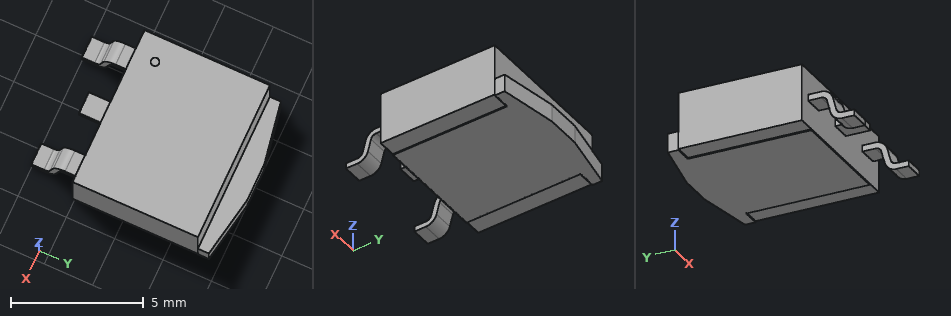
import cadquery as cq
import math


overall_length = 8.04
overall_height = 2.44
package_width = 6.53

tab_length = 0.9
tab_thickness = 0.8
tab_side_length = 0.45
tab_end_width = 1.53
pad_thickness = 0.05
pad_inset = 0.8

lead_reach = 1.945
lead_width = 0.9
lead_thickness = 0.26
lead_pitch = 4.58
lead_top = 1.38
shoulder_length = 0.555
inner_bend_radius = 0.25
bend_angle = math.radians(75)
stub_length = 1.02

mark_diameter = 0.33
mark_depth = 0.05
mark_from_front = 0.885

body_length = overall_length - tab_length - lead_reach
body_bottom = pad_thickness
body_height = overall_height - body_bottom
tab_end = body_length + tab_length
lead_axis_height = lead_top - lead_thickness / 2
lead_x_positions = (-lead_pitch / 2, lead_pitch / 2)


def make_mark():
    """Disc set flush into the top of the body, in line with the left lead."""
    return (
        cq.Workplane("XY", origin=(lead_x_positions[0], mark_from_front, overall_height - mark_depth))
        .circle(mark_diameter / 2)
        .extrude(mark_depth)
    )


def make_body(mark):
    """Rectangular molded body with a recess for the mark."""
    block = (
        cq.Workplane("XY", origin=(0, 0, body_bottom))
        .box(package_width, body_length, body_height, centered=(True, False, False))
    )
    return block.cut(mark).solids()


def make_tab():
    """Tapered metal tab with a thin, narrower pad running under the body."""
    half_width = package_width / 2
    taper_start = body_length + tab_side_length
    plate = (
        cq.Workplane("XY")
        .moveTo(-half_width, body_length)
        .lineTo(half_width, body_length)
        .lineTo(half_width, taper_start)
        .lineTo(tab_end_width / 2, tab_end)
        .lineTo(-tab_end_width / 2, tab_end)
        .lineTo(-half_width, taper_start)
        .close()
        .extrude(tab_thickness)
    )
    pad_width = package_width - 2 * pad_inset
    pad = cq.Workplane("XY").box(pad_width, body_length, pad_thickness, centered=(True, False, False))
    return plate.union(pad).solids()


def make_lead(x):
    """Gull-wing lead: a flat strip swept along its S-shaped centerline."""
    bend_radius = inner_bend_radius + lead_thickness / 2
    bend_run = bend_radius * math.sin(bend_angle)
    bend_drop = bend_radius * (1 - math.cos(bend_angle))
    foot_axis_height = body_bottom + lead_thickness / 2
    slope_drop = lead_axis_height - foot_axis_height - 2 * bend_drop
    slope_run = slope_drop / math.tan(bend_angle)

    upper_bend_end = (-shoulder_length - bend_run, lead_axis_height - bend_drop)
    slope_end = (upper_bend_end[0] - slope_run, upper_bend_end[1] - slope_drop)
    foot_start = (slope_end[0] - bend_run, foot_axis_height)

    centerline = (
        cq.Workplane("YZ", origin=(x, 0, 0))
        .moveTo(0, lead_axis_height)
        .lineTo(-shoulder_length, lead_axis_height)
        .tangentArcPoint(upper_bend_end, relative=False)
        .lineTo(*slope_end)
        .tangentArcPoint(foot_start, relative=False)
        .lineTo(-lead_reach, foot_axis_height)
    )
    return (
        cq.Workplane("XZ", origin=(x, 0, lead_axis_height))
        .rect(lead_width, lead_thickness)
        .sweep(centerline)
    )


def make_stub():
    """Cropped straight center lead."""
    return (
        cq.Workplane("XZ", origin=(0, 0, lead_axis_height))
        .rect(lead_width, lead_thickness)
        .extrude(stub_length)
    )


mark = make_mark()
body = make_body(mark)
tab = make_tab()
leads = [make_lead(x) for x in lead_x_positions]
stub = make_stub()

result = cq.Compound.makeCompound(
    [body.val(), tab.val(), stub.val(), mark.val(), *[lead.val() for lead in leads]]
)